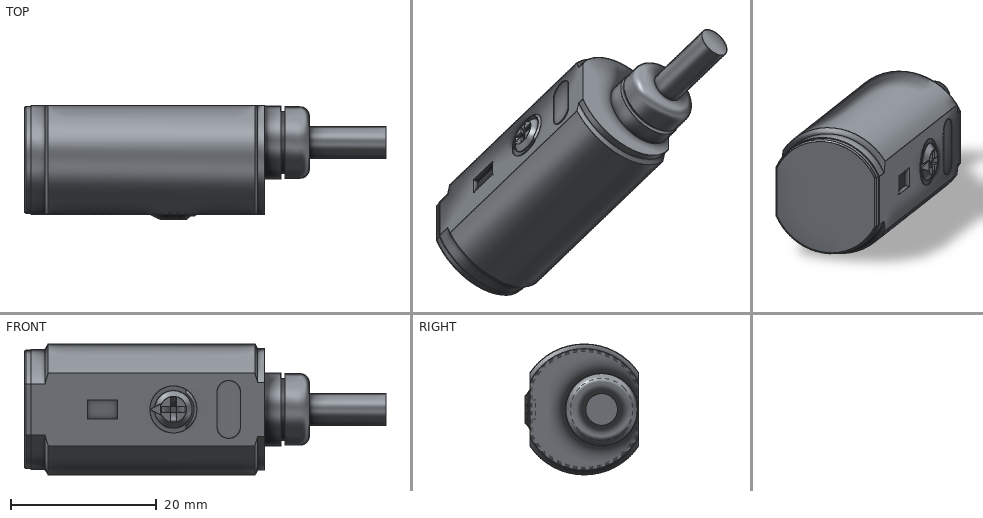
import cadquery as cq

total_length = 49.7

body_radius = 9.0
flat_half_width = 7.48
lens_radius = 8.15
lens_half_width = 7.35
lens_length = 0.95
lens_edge_chamfer = 0.2
neck_radius = 8.25
neck_end = 2.85
front_cone_end = 3.3
rear_cone_start = 31.65
rear_cone_end = 32.05
rear_radius = 8.35
body_end = 33.0

cable_offset = 2.4
collar_radius = 5.0
collar_end = 35.25
gland_groove_radius = 4.25
gland_head_start = 35.8
gland_head_radius = 4.9
gland_head_end = 39.15
gland_head_rounding = 1.35
cable_radius = 2.2

window_center_x = 10.75
window_length = 4.15
window_height = 2.65
window_depth = 0.75
indicator_center_x = 28.1
indicator_width = 3.25
indicator_height = 7.95
shallow_depth = 0.1

screw_x = 20.5
screw_seat_radius = 3.25
screw_base_radius = 2.6
screw_top_radius = 1.8
screw_height = 0.7
pointer_half_width = 0.75
lip_start = 1.75
lip_inner_radius = 2.85
lip_height = 0.25
cross_half_length = 1.615
cross_width = 0.85
cross_depth = 1.0


def cylinder_x(start, end, radius, center_y=0):
    """Cylinder parallel to X between two stations."""
    return cq.Workplane("YZ", origin=(start, center_y, 0)).circle(radius).extrude(end - start)


def trim_flats(solid, half_width):
    """Trim a turned solid by a flat on each Y side."""
    slab = cq.Workplane("XY").box(2 * total_length, 2 * half_width, 4 * body_radius)
    return solid.intersect(slab)


def flat_plane(x, height=0):
    """Workplane parallel to the -Y flat, with its normal along -Y."""
    return cq.Workplane("XZ", origin=(x, -flat_half_width - height, 0))


def make_body():
    profile = [
        (lens_length, 0),
        (lens_length, neck_radius),
        (neck_end, neck_radius),
        (front_cone_end, body_radius),
        (rear_cone_start, body_radius),
        (rear_cone_end, rear_radius),
        (body_end, rear_radius),
        (body_end, 0),
    ]
    turned = cq.Workplane("XY").polyline(profile).close().revolve(360, (0, 0, 0), (1, 0, 0))
    lens = trim_flats(cylinder_x(0, lens_length, lens_radius), lens_half_width)
    lens = lens.faces("<X").chamfer(lens_edge_chamfer)
    return trim_flats(turned, flat_half_width).union(lens)


def make_gland_and_cable():
    collar = cylinder_x(body_end, collar_end, collar_radius, cable_offset)
    groove = cylinder_x(collar_end, gland_head_start, gland_groove_radius, cable_offset)
    head = cylinder_x(gland_head_start, gland_head_end, gland_head_radius, cable_offset)
    head = head.faces(">X").edges().fillet(gland_head_rounding)
    cable = cylinder_x(gland_head_end, total_length, cable_radius, cable_offset)
    return collar.union(groove).union(head).union(cable)


def make_window():
    return flat_plane(window_center_x).rect(window_length, window_height).extrude(-window_depth)


def make_indicator_recess():
    outline = flat_plane(indicator_center_x).slot2D(indicator_height, indicator_width, 90)
    return outline.extrude(-shallow_depth)


def make_screw_seat():
    return flat_plane(screw_x).circle(screw_seat_radius).extrude(-shallow_depth)


def cone_on_flat(base_radius, top_radius, height):
    """Truncated cone about the screw axis, with a foot down to the seat floor."""
    foot = flat_plane(screw_x).circle(base_radius).extrude(-shallow_depth)
    cone = flat_plane(screw_x).circle(base_radius).workplane(offset=height).circle(top_radius).loft()
    return foot.union(cone)


def make_pointer():
    """Ridge that rises from its tip at the seat rim to the top of the screw."""
    side = [
        (-screw_seat_radius, shallow_depth),
        (-screw_seat_radius, 0),
        (-screw_top_radius, -screw_height),
        (0, -screw_height),
        (0, shallow_depth),
    ]
    ridge = cq.Workplane("XY", origin=(screw_x, -flat_half_width, -screw_base_radius))
    ridge = ridge.polyline(side).close().extrude(2 * screw_base_radius)
    plan = [
        (-screw_seat_radius, 0),
        (-screw_top_radius, pointer_half_width),
        (0, 0),
        (-screw_top_radius, -pointer_half_width),
    ]
    wedge = flat_plane(screw_x, -shallow_depth).polyline(plan).close()
    return ridge.intersect(wedge.extrude(screw_height + shallow_depth))


def make_lip():
    """Low sloping lip opposite the pointer, with a gap between it and the screw cone."""
    lip = cone_on_flat(screw_seat_radius, lip_inner_radius, lip_height)
    keep_length = screw_seat_radius - lip_start
    keep = flat_plane(screw_x + lip_start + keep_length / 2)
    keep = keep.rect(keep_length, 2 * screw_seat_radius).extrude(screw_height, both=True)
    gap = flat_plane(screw_x, -shallow_depth).circle(lip_inner_radius).extrude(screw_height)
    return lip.intersect(keep).cut(gap)


def make_cross_recess():
    """Two crossed slots whose floors slope down to a square at the center."""
    half_floor = cross_width / 2
    side = [
        (-cross_half_length, 0),
        (cross_half_length, 0),
        (half_floor, cross_depth),
        (-half_floor, cross_depth),
    ]
    center = (screw_x, -flat_half_width - screw_height, 0)
    slot = cq.Workplane("XY", origin=center).polyline(side).close()
    slot = slot.extrude(half_floor, both=True)
    crossing = slot.rotate(center, (screw_x, 0, 0), 90)
    return slot.union(crossing)


def make_screw():
    head = cone_on_flat(screw_base_radius, screw_top_radius, screw_height)
    return head.union(make_pointer()).union(make_lip())


result = (
    make_body()
    .union(make_gland_and_cable())
    .cut(make_window())
    .cut(make_indicator_recess())
    .cut(make_screw_seat())
    .union(make_screw())
    .cut(make_cross_recess())
)